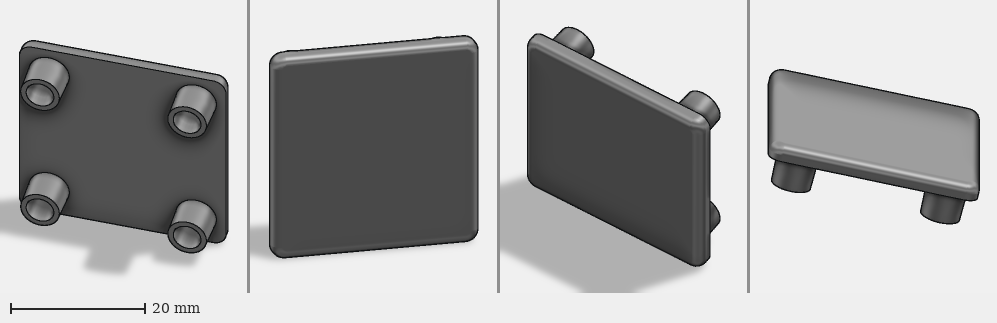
import cadquery as cq

plate_side = 32.0
plate_thickness = 2.5
corner_radius = 2.0
back_edge_radius = 1.5

peg_inset = 4.6
peg_length = 5.0
peg_base_diameter = 6.27
peg_tip_diameter = 6.0
bore_base_diameter = 4.03
bore_mouth_diameter = 4.3

peg_offset = plate_side / 2 - peg_inset


def make_plate():
    """Square plate with rounded corners and a rounded back edge."""
    plate = cq.Workplane("XZ").rect(plate_side, plate_side).extrude(-plate_thickness)
    plate = plate.edges("|Y").fillet(corner_radius)
    return plate.faces(">Y").edges().fillet(back_edge_radius)


def make_cone(base_diameter, end_diameter):
    """Tapered round body as long as a peg, from the plate face towards -Y."""
    return cq.Solid.makeCone(
        base_diameter / 2,
        end_diameter / 2,
        peg_length,
        pnt=cq.Vector(0, 0, 0),
        dir=cq.Vector(0, -1, 0),
    )


def make_peg(x, z):
    """Tapered tube whose bore ends at the plate face."""
    outside = make_cone(peg_base_diameter, peg_tip_diameter)
    bore = make_cone(bore_base_diameter, bore_mouth_diameter)
    return cq.Workplane(outside).cut(cq.Workplane(bore)).translate((x, 0, z))


plate = make_plate()

pegs = []
for x in (-peg_offset, peg_offset):
    for z in (-peg_offset, peg_offset):
        pegs.append(make_peg(x, z).val())

result = cq.Compound.makeCompound([plate.val(), *pegs])